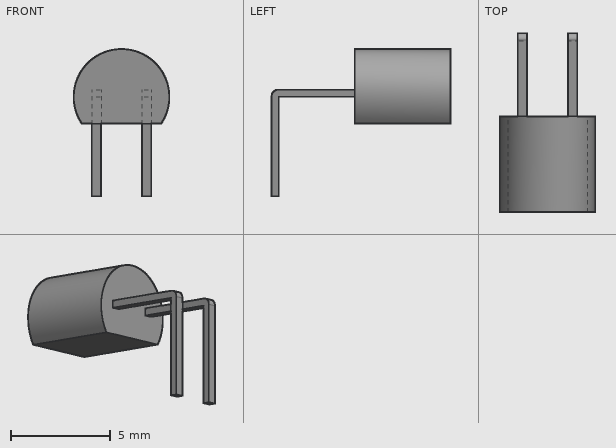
import cadquery as cq

body_diameter = 4.82
body_length = 4.81
body_height = 3.75
body_radius = body_diameter / 2
flat_z = body_radius - body_height

overall_length = 8.99
overall_height = 7.41
lead_width = 0.48
lead_thickness = 0.37
lead_pitch = 2.535
bend_radius = 0.34
lead_underside_z = 0.0
lead_top_z = lead_underside_z + lead_thickness
lead_tip_z = body_radius - overall_height


def make_body():
    """Round body with its front face at Y = 0 and its axis on Z = 0."""
    cylinder = cq.Workplane("XZ").circle(body_radius).extrude(-body_length)
    keep = cq.Workplane("XY").box(
        body_diameter, body_length, body_height, centered=(True, False, False)
    ).translate((0, 0, flat_z))
    return cylinder.intersect(keep)


def make_lead(center_x):
    """L-shaped lead with a rounded outer and a sharp inner corner."""
    inner_y = overall_length - lead_thickness
    return (
        cq.Workplane("YZ", origin=(center_x, 0, 0))
        .moveTo(body_length, lead_underside_z)
        .lineTo(inner_y, lead_underside_z)
        .lineTo(inner_y, lead_tip_z)
        .lineTo(overall_length, lead_tip_z)
        .lineTo(overall_length, lead_top_z - bend_radius)
        .radiusArc((overall_length - bend_radius, lead_top_z), -bend_radius)
        .lineTo(body_length, lead_top_z)
        .close()
        .extrude(lead_width / 2, both=True)
    )


result = make_body()
for side in (-1, 1):
    result = result.union(make_lead(side * lead_pitch / 2))